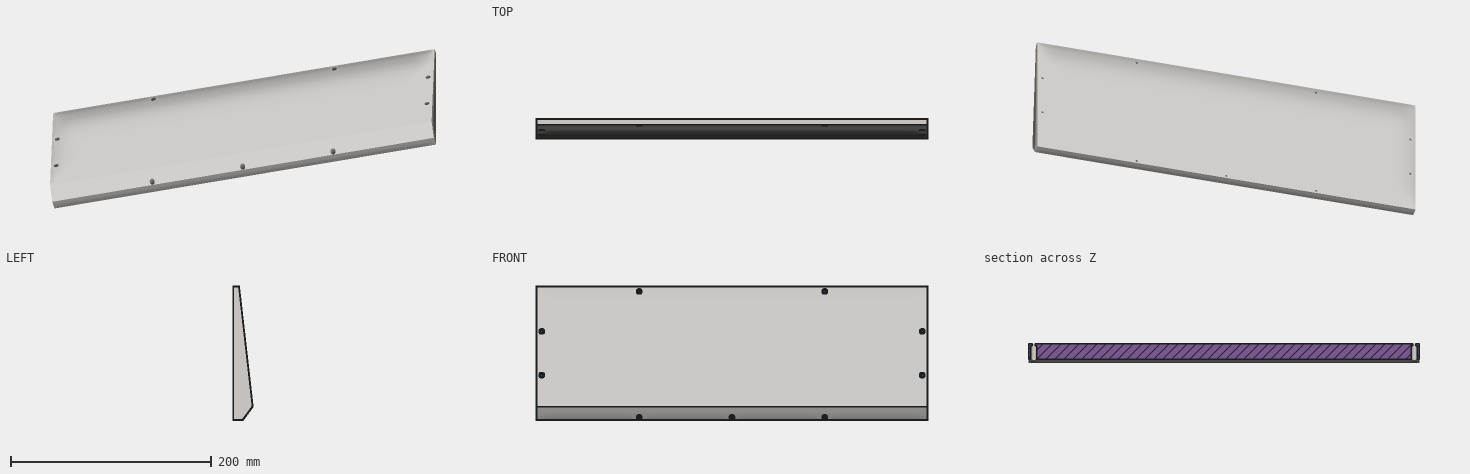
import cadquery as cq

length = 390.8
depth = 19.5
height = 133.5
top_depth = 6.0
bottom_depth = 9.5
nose_height = 13.5

hole_diameter = 2.5
counterbore_diameter = 5.0
counterbore_floor = 2.5
end_inset = 5.5
end_hole_spacing = 43.8
end_holes_mid_height = 67.0
long_edge_hole_x = 92.5
top_hole_inset = 5.0
bottom_hole_height = 2.7


def make_panel():
    profile = [
        (depth, 0),
        (depth - bottom_depth, 0),
        (0, nose_height),
        (depth - top_depth, height),
        (depth, height),
    ]
    return cq.Workplane("YZ").polyline(profile).close().extrude(length / 2, both=True)


def cylinder_along_y(x, z, diameter, end_y):
    """Cylinder running from the frontmost plane to end_y."""
    return cq.Workplane("XZ", origin=(x, 0, z)).circle(diameter / 2).extrude(-end_y)


def screw_hole(x, z):
    """Cutter for a through hole with a counterbore that stops short of the back face."""
    through = cylinder_along_y(x, z, hole_diameter, depth)
    counterbore = cylinder_along_y(x, z, counterbore_diameter, depth - counterbore_floor)
    return through.union(counterbore)


end_x = length / 2 - end_inset
half_spacing = end_hole_spacing / 2
end_heights = (end_holes_mid_height - half_spacing, end_holes_mid_height + half_spacing)

hole_positions = [(x, z) for x in (-end_x, end_x) for z in end_heights]
hole_positions += [(x, height - top_hole_inset) for x in (-long_edge_hole_x, long_edge_hole_x)]
hole_positions += [(x, bottom_hole_height) for x in (-long_edge_hole_x, 0, long_edge_hole_x)]

result = make_panel()
for x, z in hole_positions:
    result = result.cut(screw_hole(x, z))